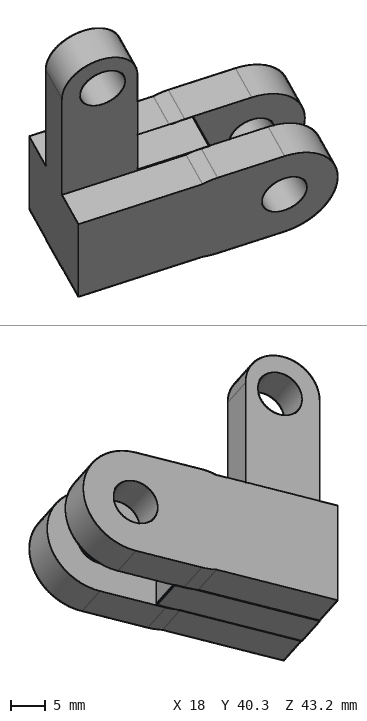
import cadquery as cq

total_width = 18.0
total_length = 40.3
total_height = 43.2
pin_diameter = 7.0
ply = total_width / 3

fork_height = 16.6
fork_radius = fork_height / 2
fork_center_y = total_length - fork_radius
fork_pin_z = 8.2

block_bottom = 0.25
block_top = 16.25
blend_start_y = 19.25
blend_end_y = 21.6
block_end_y = 23.0

web_bottom = 0.15
web_top = 16.5
web_end_y = 22.9

tab_length = 11.75
tab_radius = tab_length / 2
tab_pin_y = 6.3
tab_pin_z = 36.8


def slab(outline, width):
    """Extrude a closed YZ outline symmetrically about the X = 0 plane."""
    return outline.extrude(width).translate((-width / 2, 0, 0))


def pin_hole(y, z):
    """Cylinder along X through the full width."""
    return slab(cq.Workplane("YZ").center(y, z).circle(pin_diameter / 2), total_width)


profile = (
    cq.Workplane("YZ")
    .moveTo(fork_center_y, fork_height)
    .threePointArc((total_length, fork_radius), (fork_center_y, 0))
    .lineTo(blend_end_y, 0)
    .tangentArcPoint((blend_start_y, block_bottom), relative=False)
    .lineTo(0, block_bottom)
    .lineTo(0, block_top)
    .lineTo(blend_start_y, block_top)
)
blend_drop = fork_height - block_top
blend_run = blend_end_y - blend_start_y
blend_radius = (blend_run**2 + blend_drop**2) / (2 * blend_drop)
profile = profile.radiusArc((blend_end_y, fork_height), blend_radius).close()
body = slab(profile, total_width)

gap_length = total_length - blend_start_y
gap = cq.Workplane("XY").box(ply, gap_length, fork_height, centered=(True, False, False))
body = body.cut(gap.translate((0, blend_start_y, 0)))
block_core = cq.Workplane("XY").box(
    ply, block_end_y, block_top - block_bottom, centered=(True, False, False)
)
body = body.union(block_core.translate((0, 0, block_bottom)))

tab_center_z = total_height - tab_radius
web_and_tab = slab(
    cq.Workplane("YZ")
    .moveTo(0, web_bottom)
    .lineTo(web_end_y, web_bottom)
    .lineTo(web_end_y, web_top)
    .lineTo(tab_length, web_top)
    .lineTo(tab_length, tab_center_z)
    .threePointArc((tab_radius, total_height), (0, tab_center_z))
    .close(),
    ply,
)

result = (
    body.union(web_and_tab)
    .cut(pin_hole(fork_center_y, fork_pin_z))
    .cut(pin_hole(tab_pin_y, tab_pin_z))
)